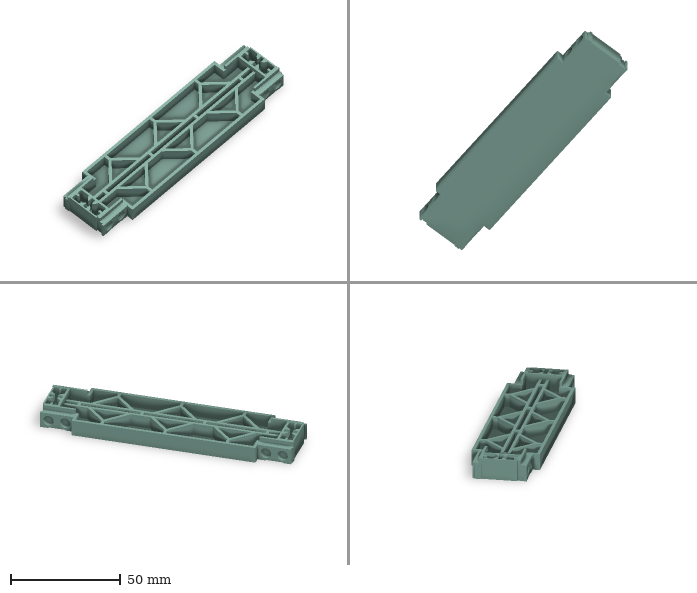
import cadquery as cq
import math

body_width = 31.8
body_length = 88.0
body_height = 7.7
wall = 1.5
floor_thickness = 1.7

block_end_y = 60.0
block_width = 25.2
relief_radius = 0.25
crown_width = 19.4
crown_top = 10.0
block_cavity_width = 17.2
block_cavity_end_y = 52.0

joint_x = 9.87
tongue_width = 2.7
groove_width = 3.1
tongue_length = 0.4
groove_depth = 0.7

pocket_width = 15.7
pocket_corner_radius = 0.5
pocket_inner_y = 53.1
pocket_outer_y = 59.3
pocket_middle_y = (pocket_inner_y + pocket_outer_y) / 2
tab_length = 1.6
tab_thickness = 1.1
boss_radius = 3.2
boss_offset = 3.8
boss_slot_width = 2.0

hole_diameter = 5.0
hole_depth = 2.0
hole_spacing = 8.0
hole_middle_y = 52.0

notch_length = 8.3
notch_height = 0.35
notch_depth = 1.0

spine_width = 4.8
spine_slot_width = 2.0
bridge_pitch = 30.0
bridge_count = 4
brace_pitch = 30.0
brace_count = 3
brace_reach = 11.7

body_end_y = body_length / 2
body_cavity_width = body_width - 2 * wall
body_cavity_end_y = body_end_y - wall
ends = (1, -1)
sides = (1, -1)


def box(width, length, bottom, top, x=0.0, y=0.0):
    """Box centred on (x, y) between two heights."""
    block = cq.Workplane("XY", origin=(x, y, bottom))
    return block.rect(width, length).extrude(top - bottom)


def row(count, pitch):
    """Evenly spaced positions centred on zero."""
    return [(i - (count - 1) / 2) * pitch for i in range(count)]


def outer_shape():
    shape = box(body_width, body_length, 0, body_height)
    shape = shape.union(box(block_width, 2 * block_end_y, 0, body_height))
    crown_length = block_end_y - body_end_y
    crown_y = (block_end_y + body_end_y) / 2
    for end in ends:
        shape = shape.union(box(crown_width, crown_length, 0, crown_top, y=end * crown_y))
    return shape


def central_cavity():
    cavity = box(body_cavity_width, 2 * body_cavity_end_y, floor_thickness, crown_top)
    narrow = box(block_cavity_width, 2 * block_cavity_end_y, floor_thickness, crown_top)
    return cavity.union(narrow)


def spine():
    """Two parallel walls along the middle, tied together by short bridges."""
    length = 2 * block_cavity_end_y
    walls = box(spine_width, length, 0, body_height)
    walls = walls.cut(box(spine_slot_width, length, floor_thickness, body_height))
    for y in row(bridge_count, bridge_pitch):
        walls = walls.union(box(spine_slot_width, wall, 0, body_height, y=y))
    return walls


def brace(side, y):
    """V-shaped rib from the spine to a stub on the side wall."""
    half_rise = wall / math.sqrt(2)
    root_x = (spine_width - wall) / 2
    rise = brace_reach - root_x
    outline = [
        (side * root_x, y + rise + half_rise),
        (side * (brace_reach + half_rise), y),
        (side * root_x, y - rise - half_rise),
        (side * root_x, y - rise + half_rise),
        (side * (brace_reach - half_rise), y),
        (side * root_x, y + rise - half_rise),
    ]
    rib = cq.Workplane("XY").polyline(outline).close().extrude(body_height)
    stub_end_x = body_cavity_width / 2 + wall / 2
    stub_x = side * (brace_reach + stub_end_x) / 2
    return rib.union(box(stub_end_x - brace_reach, wall, 0, body_height, x=stub_x, y=y))


def end_pocket(end):
    """Pocket with two side tabs and two slotted round bosses facing each other."""
    length = pocket_outer_y - pocket_inner_y
    y = end * pocket_middle_y
    pocket = box(pocket_width, length, floor_thickness, crown_top, y=y)
    pocket = pocket.edges("|Z").fillet(pocket_corner_radius)
    for side in sides:
        tab_x = side * (pocket_width - tab_length) / 2
        pocket = pocket.cut(box(tab_length, tab_thickness, floor_thickness, crown_top, x=tab_x, y=y))
        boss = cq.Workplane("XY", origin=(0, y + side * boss_offset, floor_thickness))
        pocket = pocket.cut(boss.circle(boss_radius).extrude(crown_top - floor_thickness))
    return pocket.union(box(boss_slot_width, length, floor_thickness, crown_top, y=y))


def tongue(end):
    """Tongue on the end face, lower where it lies beyond the crown."""
    length = 2 * tongue_length
    y = end * block_end_y
    strip = box(tongue_width, length, 0, crown_top, x=end * joint_x, y=y)
    beyond_crown = box(body_width, length, body_height, crown_top, y=y)
    beyond_crown = beyond_crown.cut(box(crown_width, length, body_height, crown_top, y=y))
    return strip.cut(beyond_crown)


def groove(end):
    """Groove in the end face, on the other side from the tongue."""
    y = end * (block_end_y - groove_depth / 2)
    return box(groove_width, groove_depth, 0, crown_top, x=-end * joint_x, y=y)


def corner_reliefs(end):
    """Small round reliefs along the upright inner corners of one end."""
    groove_floor_y = block_end_y - groove_depth
    corners = []
    for side in sides:
        corners.append((side * block_width / 2, end * body_end_y))
        corners.append((end * joint_x + side * tongue_width / 2, end * block_end_y))
        corners.append((-end * joint_x + side * groove_width / 2, end * groove_floor_y))
    return cq.Workplane("XY").pushPoints(corners).circle(relief_radius).extrude(crown_top)


def side_holes(side, end):
    """Pair of blind round holes in the side face of an end block."""
    x = side * block_width / 2
    face = cq.Workplane("YZ", origin=(x, end * hole_middle_y, body_height / 2))
    holes = face.pushPoints([(y, 0) for y in row(2, hole_spacing)])
    return holes.circle(hole_diameter / 2).extrude(-side * hole_depth)


def bottom_notch(side, end):
    x = side * (block_width - notch_depth) / 2
    return box(notch_depth, notch_length, 0, notch_height, x=x, y=end * hole_middle_y)


result = outer_shape().cut(central_cavity()).union(spine())
for brace_y in row(brace_count, brace_pitch):
    for side in sides:
        result = result.union(brace(side, brace_y))
for end in ends:
    result = result.cut(end_pocket(end)).cut(groove(end)).union(tongue(end))
    result = result.cut(corner_reliefs(end))
    for side in sides:
        result = result.cut(side_holes(side, end)).cut(bottom_notch(side, end))